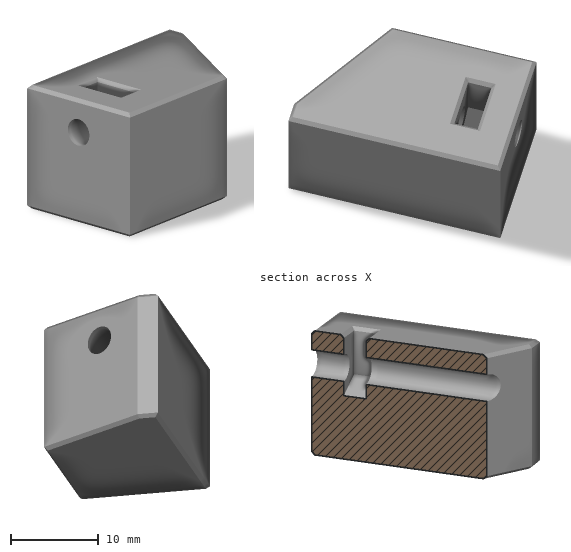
import cadquery as cq
import math

width = 15.33
length = 25.1
height = 15.0
back_flat = 2.38
right_side_length = 17.1
edge_chamfer = 0.4

hole_diameter = 3.2
hole_x = width / 2
hole_z = 11.01

nut_flats = 5.77
slot_thickness = 2.75
slot_center_y = 5.4
nut_corner_radius = nut_flats / math.sqrt(3)


def make_block():
    outline = [
        (0, 0),
        (width, 0),
        (width, right_side_length),
        (back_flat, length),
        (0, length),
    ]
    block = cq.Workplane("XY").polyline(outline).close().extrude(height)
    return block.faces("<Z or >Z").chamfer(edge_chamfer)


def make_screw_hole():
    return (
        cq.Workplane("XZ")
        .center(hole_x, hole_z)
        .circle(hole_diameter / 2)
        .extrude(-length)
    )


def make_nut_slot():
    left = hole_x - nut_flats / 2
    right = hole_x + nut_flats / 2
    side_bottom = hole_z - nut_corner_radius / 2
    profile = [
        (left, height),
        (left, side_bottom),
        (hole_x, hole_z - nut_corner_radius),
        (right, side_bottom),
        (right, height),
    ]
    slot = (
        cq.Workplane("XZ", origin=(0, slot_center_y - slot_thickness / 2, 0))
        .polyline(profile)
        .close()
        .extrude(-slot_thickness)
    )
    mouth = (
        cq.Workplane("XY", origin=(hole_x, slot_center_y, height))
        .rect(nut_flats + 2 * edge_chamfer, slot_thickness + 2 * edge_chamfer)
        .workplane(offset=-edge_chamfer)
        .rect(nut_flats, slot_thickness)
        .loft(ruled=True)
    )
    return slot.union(mouth)


result = make_block().cut(make_screw_hole()).cut(make_nut_slot())